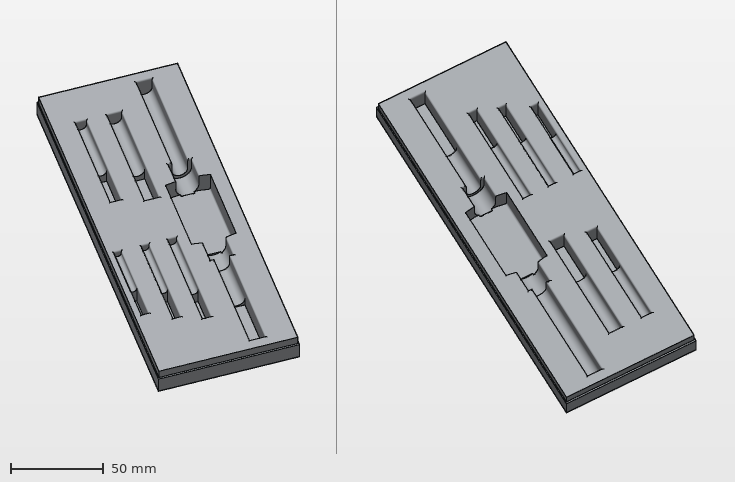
import cadquery as cq

length = 210
width = 80.0
height = 15.0
base_height = 9.9
seat_inset_x = 1.0
seat_inset_y = 0.6

rim_radius = 1.0
floor_z = 3.0

holder_y = 18.5
holder_axis_z = 8.2
shank_radius = 4.5
shank_half_length = 97.6
shank_finger_x = 62.8
collar_radius = 6.5
collar_half_length = 36.1
body_width = 25.5
body_half_length = 22.3
body_bulge = 1.0
body_floor_radius = 1.3

left_column_x = -80.2
right_column_x = 15.1
bit_slots = [
    (left_column_x, -4.2, 64.5, 40, 8.2, 4.5),
    (left_column_x, -23, 59.8, 35.0, 6.0, 3.5),
    (right_column_x, -2.7, 59.6, 37.5, 4.8, 2.7),
    (right_column_x, -18.0, 54.5, 32.5, 4.2, 2.3),
    (right_column_x, -33.5, 46.8, 26.9, 4.0, 1.9),
]


def box_between(x_start, x_end, y_centre, y_width, z_start, z_end):
    """Box given by its X and Z ranges and its centre and width in Y."""
    return cq.Workplane("XY").box(
        x_end - x_start, y_width, z_end - z_start, centered=(False, True, False)
    ).translate((x_start, y_centre, z_start))


def trough(x_start, x_end, y_centre, radius, axis_z):
    """Straight-walled trough along X with a half-round floor, open at the top face."""
    floor = (
        cq.Workplane("YZ", origin=(x_start, y_centre, axis_z))
        .circle(radius)
        .extrude(x_end - x_start)
    )
    return floor.union(box_between(x_start, x_end, y_centre, 2 * radius, axis_z, height))


def plate():
    base = box_between(-length / 2, length / 2, 0, width, 0, base_height)
    seat = box_between(
        -length / 2 + seat_inset_x, length / 2 - seat_inset_x,
        0, width - 2 * seat_inset_y, base_height, height,
    )
    return base.union(seat)


def bit_slot(x_start, y_centre, slot_length, round_length, slot_width, axis_depth):
    x_end = x_start + slot_length
    radius = slot_width / 2
    finger_pocket = box_between(x_start + round_length, x_end, y_centre, slot_width, floor_z, height)
    bit_rest = trough(x_start, x_start + round_length, y_centre, radius, height - axis_depth)
    return bit_rest.union(finger_pocket)


def holder_shafts():
    """Shank and collar troughs with the finger pocket at the +X end."""
    shank = trough(-shank_half_length, shank_finger_x, holder_y, shank_radius, holder_axis_z)
    finger_pocket = box_between(
        shank_finger_x, shank_half_length, holder_y, 2 * shank_radius, floor_z, height
    )
    shafts = shank.union(finger_pocket)
    for collar_start in (-collar_half_length, body_half_length):
        collar_end = collar_start + collar_half_length - body_half_length
        shafts = shafts.union(trough(collar_start, collar_end, holder_y, collar_radius, holder_axis_z))
    return shafts


def holder_body_outline(workplane):
    """Rectangle whose two ends widen outwards until they meet the collars."""
    half_width = body_width / 2
    bulge_x = body_half_length + body_bulge
    quarter = [(body_half_length, half_width), (bulge_x, collar_radius)]
    right_end = quarter + [(x, -y) for x, y in reversed(quarter)]
    left_end = [(-x, -y) for x, y in right_end]
    return workplane.polyline(right_end + left_end).close()


def holder_body():
    outline = holder_body_outline(cq.Workplane("XY", origin=(0, holder_y, floor_z)))
    return outline.extrude(height - floor_z).faces("<Z").edges("|X").fillet(body_floor_radius)


def round_rims(solid):
    """Round every pocket opening in the top face."""
    openings = solid.faces(">Z").val().innerWires()
    rim_edges = [edge for wire in openings for edge in wire.Edges()]
    return solid.newObject(rim_edges).fillet(rim_radius)


result = plate().cut(holder_shafts())
for slot in bit_slots:
    result = result.cut(bit_slot(*slot))
result = round_rims(result)
result = result.cut(holder_body())